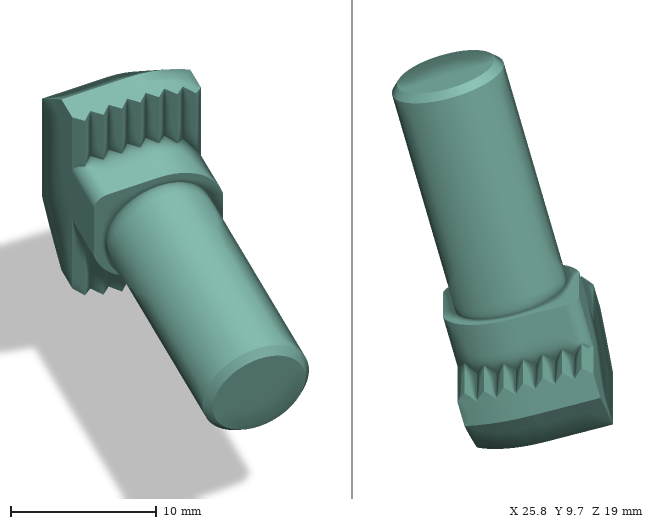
import cadquery as cq
import math

total_length = 25.8
width = 9.7
half_width = width / 2

head_radius = 9.5
head_face_radius = 6.2
head_bevel_length = 3.3
head_back = 5.78
tooth_count = 7
tooth_pitch = 1.4
tooth_depth = tooth_pitch / 2

neck_end = 8.82
neck_round_radius = 5.0
neck_fillet = 1.0

shank_radius = 4.0
shank_chamfer = 0.52


def quarter_box(y_side, z_side):
    """Box along X filling one quadrant of the head's cross-section."""
    return cq.Workplane("XY").box(head_back, half_width, head_radius, centered=False).translate(
        (0, half_width * (y_side - 1) / 2, head_radius * (z_side - 1) / 2)
    )


def make_head_blank():
    """Head with two square quadrants and two diagonally opposite round ones."""
    half_profile = [
        (0, 0),
        (0, head_face_radius),
        (head_bevel_length, head_radius),
        (head_back, head_radius),
        (head_back, 0),
    ]
    round_head = cq.Workplane("XY").polyline(half_profile).close().revolve(360, (0, 0, 0), (1, 0, 0))
    mirrored_profile = [(x, -z) for x, z in reversed(half_profile[1:-1])]
    square_head = (
        cq.Workplane("XZ")
        .polyline(half_profile[1:-1] + mirrored_profile)
        .close()
        .extrude(half_width, both=True)
    )

    blank = square_head.intersect(quarter_box(-1, 1))
    blank = blank.union(square_head.intersect(quarter_box(1, -1)))
    blank = blank.union(round_head.intersect(quarter_box(1, 1)))
    return blank.union(round_head.intersect(quarter_box(-1, -1)))


def cut_teeth(head):
    """Cut V grooves along Z into the back of the head, leaving a crest at y = 0."""
    for index in range(tooth_count + 1):
        y = (index - tooth_count / 2) * tooth_pitch
        groove = (
            cq.Workplane("XY")
            .polyline(
                [
                    (head_back, y - tooth_pitch / 2),
                    (head_back - tooth_depth, y),
                    (head_back, y + tooth_pitch / 2),
                ]
            )
            .close()
            .extrude(head_radius, both=True)
        )
        head = head.cut(groove)
    return head


def make_neck():
    """Square neck with two large rounded corners and two small fillets."""
    round_center = half_width - neck_round_radius
    side_z = round_center + math.sqrt(neck_round_radius**2 - half_width**2)
    middle_y = neck_round_radius * math.sin(math.radians(45))
    middle_z = round_center + neck_round_radius * math.cos(math.radians(45))
    fillet_start = half_width - neck_fillet
    fillet_middle = fillet_start + neck_fillet * math.sin(math.radians(45))

    root = head_back - tooth_depth
    return (
        cq.Workplane("YZ", origin=(root, 0, 0))
        .moveTo(0, half_width)
        .threePointArc((middle_y, middle_z), (half_width, side_z))
        .lineTo(half_width, -fillet_start)
        .threePointArc((fillet_middle, -fillet_middle), (fillet_start, -half_width))
        .lineTo(0, -half_width)
        .threePointArc((-middle_y, -middle_z), (-half_width, -side_z))
        .lineTo(-half_width, fillet_start)
        .threePointArc((-fillet_middle, fillet_middle), (-fillet_start, half_width))
        .close()
        .extrude(neck_end - root)
    )


def make_shank():
    """Round shank with a chamfered end."""
    return (
        cq.Workplane("YZ", origin=(neck_end, 0, 0))
        .circle(shank_radius)
        .extrude(total_length - neck_end)
        .faces(">X")
        .chamfer(shank_chamfer)
    )


result = cut_teeth(make_head_blank()).union(make_neck()).union(make_shank())